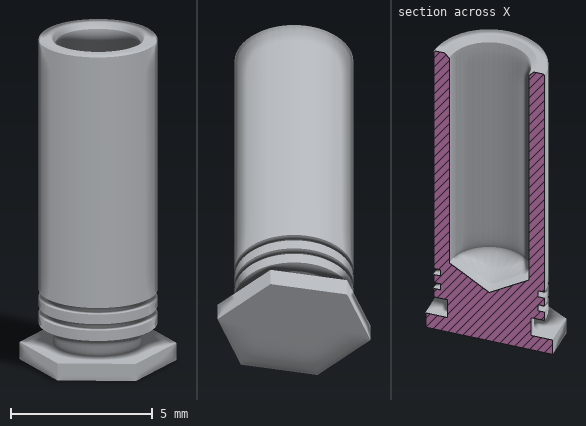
import cadquery as cq
import math

total_height = 12.0

hex_across_flats = 4.8
hex_corner_diameter = hex_across_flats / math.cos(math.radians(30))
hex_height = 0.64

sleeve_diameter = 4.2
groove_diameter = 3.7
neck_diameter = 3.18

neck_top = 1.38
flange_top = 1.76
lower_groove_top = 2.0
ring_top = 2.36
upper_groove_top = 2.6

rim_chamfer = 0.07
bore_diameter = 3.0
bore_mouth_diameter = 3.38
bore_chamfer = (bore_mouth_diameter - bore_diameter) / 2
bore_floor = 3.0
drill_point_angle = 118.0
drill_point_depth = bore_diameter / 2 / math.tan(math.radians(drill_point_angle / 2))


def cylinder(diameter, bottom, top):
    """Cylinder on the Z axis between two heights."""
    return cq.Workplane("XY").workplane(offset=bottom).circle(diameter / 2).extrude(top - bottom)


def make_bore():
    """Blind bore with a conical floor and a chamfered mouth."""
    bore_radius = bore_diameter / 2
    return (
        cq.Workplane("XZ")
        .moveTo(0, bore_floor - drill_point_depth)
        .lineTo(bore_radius, bore_floor)
        .lineTo(bore_radius, total_height - bore_chamfer)
        .lineTo(bore_mouth_diameter / 2, total_height)
        .lineTo(0, total_height)
        .close()
        .revolve(360, (0, 0, 0), (0, 1, 0))
    )


head = cq.Workplane("XY").polygon(6, hex_corner_diameter).extrude(hex_height)
neck = cylinder(neck_diameter, hex_height, neck_top)
flange = cylinder(sleeve_diameter, neck_top, flange_top)
lower_groove = cylinder(groove_diameter, flange_top, lower_groove_top)
ring = cylinder(sleeve_diameter, lower_groove_top, ring_top)
upper_groove = cylinder(groove_diameter, ring_top, upper_groove_top)
sleeve = cylinder(sleeve_diameter, upper_groove_top, total_height).faces(">Z").edges().chamfer(rim_chamfer)

result = head
for section in (neck, flange, lower_groove, ring, upper_groove, sleeve):
    result = result.union(section)
result = result.cut(make_bore())